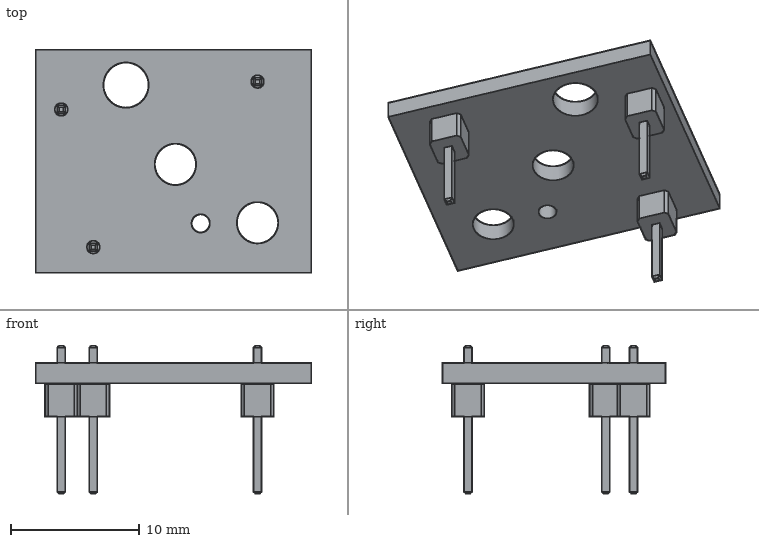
import cadquery as cq

board_length = 21.5
board_width = 17.4
board_thickness = 1.6

large_hole = (-3.7, 5.93, 3.5)
centre_hole = (0.15, -0.25, 3.2)
corner_hole = (6.55, -4.8, 3.2)
small_hole = (2.12, -4.85, 1.4)
open_holes = [large_hole, centre_hole, corner_hole, small_hole]

header_positions = [(-8.75, 4.03), (-6.25, -6.7), (6.55, 6.2)]
pin_hole_diameter = 1.0
header_gap = 0.05
block_size = 2.54
block_corner_chamfer = 0.25
pin_width = 0.64
pin_above_block = 3.0
pin_below_block = 6.0
pin_tip_chamfer = 0.16

pin_length = pin_above_block + block_size + pin_below_block
block_bottom = -header_gap - block_size
pin_bottom = block_bottom - pin_below_block


def make_board():
    """Flat rectangular board with the open holes and one hole per pin."""
    board = cq.Workplane("XY").box(
        board_length, board_width, board_thickness, centered=(True, True, False)
    )
    for x, y, diameter in open_holes:
        board = board.cut(make_drill(x, y, diameter))
    for x, y in header_positions:
        board = board.cut(make_drill(x, y, pin_hole_diameter))
    return board


def make_drill(x, y, diameter):
    """Cylinder as tall as the board is thick, used to cut a through hole."""
    return cq.Workplane("XY").center(x, y).circle(diameter / 2).extrude(board_thickness)


def make_header(x, y):
    """Single-pin header: a block with bevelled corners and its square pin, as one solid."""
    block = (
        cq.Workplane("XY", origin=(x, y, block_bottom))
        .box(block_size, block_size, block_size, centered=(True, True, False))
        .edges("|Z")
        .chamfer(block_corner_chamfer)
    )
    pin = (
        cq.Workplane("XY", origin=(x, y, pin_bottom))
        .box(pin_width, pin_width, pin_length, centered=(True, True, False))
        .faces("<Z or >Z")
        .chamfer(pin_tip_chamfer)
    )
    return block.union(pin)


board = make_board()
headers = [make_header(x, y) for x, y in header_positions]

result = cq.Compound.makeCompound([board.val(), *[header.val() for header in headers]])